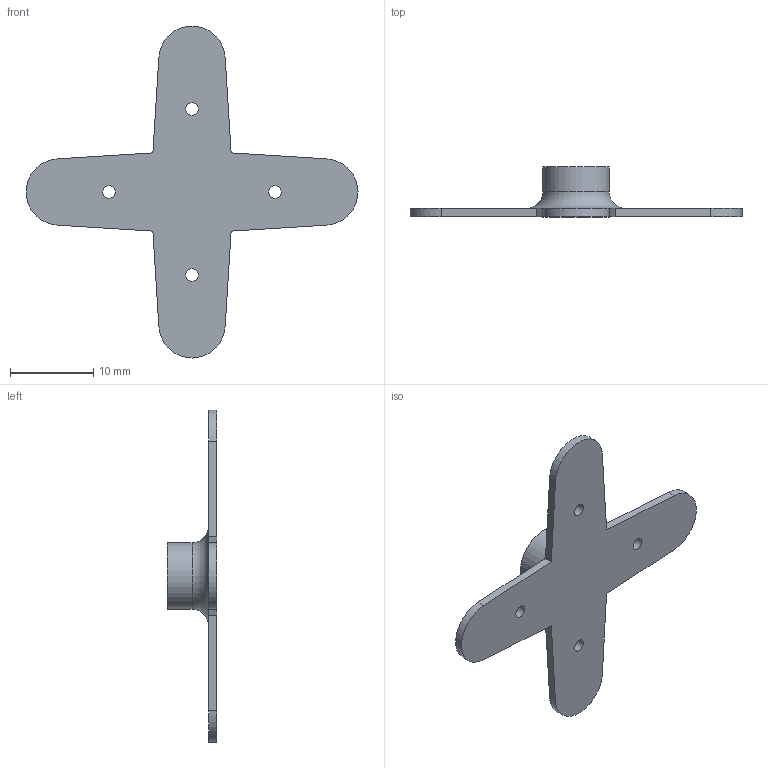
import cadquery as cq
import math

span = 40.0
plate_thickness = 1.0
tip_radius = 4.0
centre_half_width = 5.0
arm_count = 4

hole_diameter = 1.5
hole_distance = 10.0

overall_depth = 6.0
boss_radius = 4.0
boss_fillet_radius = 2.0

tip_centre = span / 2 - tip_radius
flank_start_to_tip = math.hypot(tip_centre, centre_half_width)
taper_angle = math.asin(centre_half_width / flank_start_to_tip) - math.asin(tip_radius / flank_start_to_tip)
tangent_x = tip_centre + tip_radius * math.sin(taper_angle)
tangent_z = tip_radius * math.cos(taper_angle)

inner_corner = centre_half_width / (1 + math.tan(taper_angle))


def make_arm():
    """Arm along +X, from the centre of the cross to its rounded tip."""
    return (
        cq.Workplane("XZ")
        .moveTo(0, 0)
        .lineTo(inner_corner, -inner_corner)
        .lineTo(tangent_x, -tangent_z)
        .threePointArc((span / 2, 0), (tangent_x, tangent_z))
        .lineTo(inner_corner, inner_corner)
        .close()
        .extrude(-plate_thickness)
    )


def make_plate():
    """Four equal arms joined into a cross."""
    arm = make_arm()
    plate = arm
    for index in range(1, arm_count):
        turn = index * 360 / arm_count
        plate = plate.union(arm.rotate((0, 0, 0), (0, 1, 0), turn))
    return plate.clean()


def make_boss():
    """Solid boss with a concave flare, revolved about the Y axis."""
    flare_radius = boss_radius + boss_fillet_radius
    flare_top = plate_thickness + boss_fillet_radius
    arc_offset = boss_fillet_radius * math.sqrt(0.5)
    return (
        cq.Workplane("XY")
        .moveTo(0, 0)
        .lineTo(boss_radius, 0)
        .lineTo(boss_radius, plate_thickness)
        .lineTo(flare_radius, plate_thickness)
        .threePointArc((flare_radius - arc_offset, flare_top - arc_offset), (boss_radius, flare_top))
        .lineTo(boss_radius, overall_depth)
        .lineTo(0, overall_depth)
        .close()
        .revolve(360, (0, 0, 0), (0, 1, 0))
    )


def make_holes():
    """Cutters for the through holes, one per arm."""
    return (
        cq.Workplane("XZ")
        .polarArray(hole_distance, 0, 360, arm_count)
        .circle(hole_diameter / 2)
        .extrude(-plate_thickness)
    )


result = make_plate().union(make_boss()).cut(make_holes())